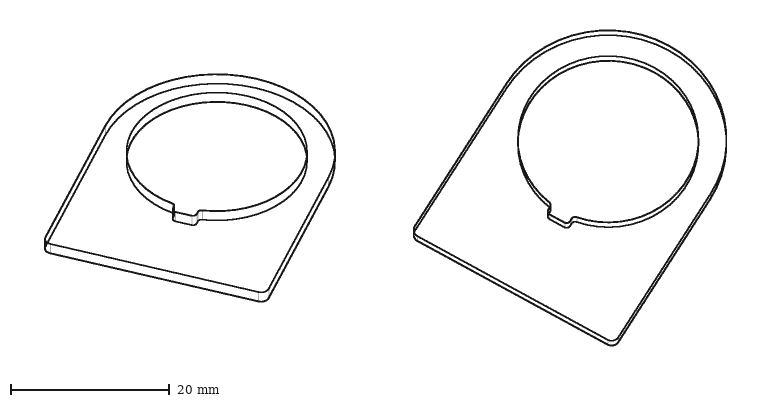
import cadquery as cq

width = 29.85
length = 38.6
thickness = 1.6
corner_radius = 1.0

hole_radius = 11.4

notch_width = 3.15
notch_reach = 12.62
notch_floor_radius = 0.5
notch_mouth_radius = 0.5

end_radius = width / 2
square_end_y = end_radius - length


def plate():
    """Plate with one full-round end and two rounded corners, hole centre at the origin."""
    outline = (
        cq.Workplane("XY")
        .moveTo(-end_radius, 0)
        .threePointArc((0, end_radius), (end_radius, 0))
        .lineTo(end_radius, square_end_y)
        .lineTo(-end_radius, square_end_y)
        .close()
    )
    return outline.extrude(thickness).edges("|Z and <Y").fillet(corner_radius)


def keyed_opening():
    """Cutter for the round opening with its rounded key notch."""
    key = (
        cq.Workplane("XY")
        .center(0, -notch_reach / 2)
        .rect(notch_width, notch_reach)
        .extrude(thickness)
        .edges("|Z and <Y")
        .fillet(notch_floor_radius)
    )
    opening = cq.Workplane("XY").circle(hole_radius).extrude(thickness).union(key)
    mouth_y = -(hole_radius**2 - (notch_width / 2) ** 2) ** 0.5
    for side in (-1, 1):
        mouth = cq.selectors.NearestToPointSelector((side * notch_width / 2, mouth_y, thickness / 2))
        opening = opening.edges("|Z").edges(mouth).fillet(notch_mouth_radius)
    return opening


result = plate().cut(keyed_opening())